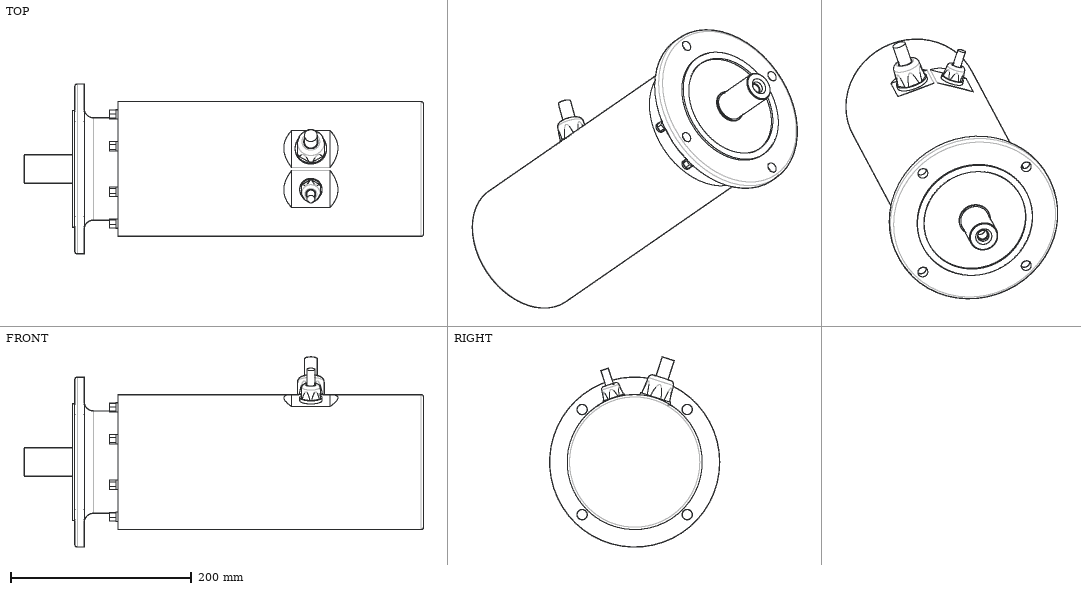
import cadquery as cq
import math

total_length = 444.0

shaft_diameter = 32.0
shaft_chamfer = 1.0
countersink_diameter = 18.0
relief_diameter = 13.0
relief_depth = 7.0
tap_diameter = 10.5
tap_depth = 22.0
drill_point_angle = 120.0

register_front = 53.7
register_diameter = 130.0
recess_diameter = 115.0
recess_depth = 2.5
seal_diameter = 35.0
seal_height = 1.8
flange_front = 56.5
flange_back = 67.0
flange_diameter = 189.0
flange_face_diameter = 183.0
flange_edge_radius = (flange_diameter - flange_face_diameter) / 2
flange_hole_diameter = 11.0
flange_hole_count = 4
flange_hole_circle = 165.0
flange_hole_start_angle = 45.0

neck_diameter = 114.0
neck_fillet = 10.0

housing_front = 104.5
housing_diameter = 150.0
housing_edge_fillet = 2.5

screw_count = 8
screw_circle = 131.5
screw_flange_diameter = 10.5
screw_flange_thickness = 2.0
screw_head_height = 9.5
screw_hex_diameter = 10.5

gland_x = 319.0
gland_tilt = 18.0
flat_height = 72.0
flat_length = 43.0
flat_ramp_angle = 20.0
cutter_height = 13.5
cutter_width = 62.0


def x_cylinder(diameter, start, end):
    """Cylinder on the motor axis from X = start to X = end."""
    return cq.Workplane("YZ", origin=(start, 0, 0)).circle(diameter / 2).extrude(end - start)


def make_front_end():
    """Shaft, register, flange and neck, turned as one profile around the motor axis."""
    shaft_radius = shaft_diameter / 2
    recess_floor = register_front + recess_depth
    seal_front = recess_floor - seal_height
    neck_radius = neck_diameter / 2
    fillet_shift = neck_fillet * (1 - math.sqrt(0.5))
    edge_shift = flange_edge_radius * (1 - math.sqrt(0.5))
    profile = (
        cq.Workplane("XY")
        .moveTo(0, 0)
        .lineTo(0, shaft_radius - shaft_chamfer)
        .lineTo(shaft_chamfer, shaft_radius)
        .lineTo(seal_front, shaft_radius)
        .lineTo(seal_front, seal_diameter / 2)
        .lineTo(recess_floor, seal_diameter / 2)
        .lineTo(recess_floor, recess_diameter / 2)
        .lineTo(register_front, recess_diameter / 2)
        .lineTo(register_front, register_diameter / 2)
        .lineTo(flange_front, register_diameter / 2)
        .lineTo(flange_front, flange_face_diameter / 2)
        .threePointArc(
            (flange_front + edge_shift, flange_diameter / 2 - edge_shift),
            (flange_front + flange_edge_radius, flange_diameter / 2),
        )
        .lineTo(flange_back, flange_diameter / 2)
        .lineTo(flange_back, neck_radius + neck_fillet)
        .threePointArc(
            (flange_back + fillet_shift, neck_radius + fillet_shift),
            (flange_back + neck_fillet, neck_radius),
        )
        .lineTo(housing_front, neck_radius)
        .lineTo(housing_front, 0)
        .close()
    )
    return profile.revolve(360, (0, 0, 0), (1, 0, 0))


def make_centre_hole():
    """Countersunk, relieved tapping hole with a conical drill point."""
    countersink_depth = (countersink_diameter - relief_diameter) / 2
    point_depth = tap_diameter / 2 / math.tan(math.radians(drill_point_angle / 2))
    profile = (
        cq.Workplane("XY")
        .moveTo(0, 0)
        .lineTo(0, countersink_diameter / 2)
        .lineTo(countersink_depth, relief_diameter / 2)
        .lineTo(relief_depth, relief_diameter / 2)
        .lineTo(relief_depth, tap_diameter / 2)
        .lineTo(tap_depth, tap_diameter / 2)
        .lineTo(tap_depth + point_depth, 0)
        .close()
    )
    return profile.revolve(360, (0, 0, 0), (1, 0, 0))


def make_flange_holes():
    """Through holes on the diagonals of the flange."""
    return (
        cq.Workplane("YZ", origin=(flange_front, 0, 0))
        .polarArray(flange_hole_circle / 2, flange_hole_start_angle, 360, flange_hole_count)
        .circle(flange_hole_diameter / 2)
        .extrude(flange_back - flange_front)
    )


def make_housing():
    """Cylindrical housing with a rounded rear edge."""
    cylinder = x_cylinder(housing_diameter, housing_front, total_length)
    return cylinder.faces(">X").edges().fillet(housing_edge_fillet)


def make_screw_heads():
    """Ring of hexagon heads on round flanges, standing on the front face of the housing."""
    first_angle = 180 / screw_count
    flanges = (
        cq.Workplane("YZ", origin=(housing_front, 0, 0))
        .polarArray(screw_circle / 2, first_angle, 360, screw_count)
        .circle(screw_flange_diameter / 2)
        .extrude(-screw_flange_thickness)
    )
    hexagons = (
        cq.Workplane("YZ", origin=(housing_front, 0, 0))
        .polarArray(screw_circle / 2, first_angle, 360, screw_count)
        .polygon(6, screw_hex_diameter)
        .extrude(-screw_head_height)
    )
    return flanges.union(hexagons)


def place_gland(shape, tilt):
    """Move a shape from the origin onto a gland flat, tilted from +Z towards +Y."""
    return shape.translate((gland_x, 0, flat_height)).rotate((0, 0, 0), (1, 0, 0), -tilt)


def make_flat_cutter():
    """Flat-bottomed cutter with a ramp at each end, its floor centred on the origin."""
    ramp_run = cutter_height / math.tan(math.radians(flat_ramp_angle))
    half_floor = flat_length / 2
    half_top = half_floor + ramp_run
    return (
        cq.Workplane("XZ")
        .polyline(
            [
                (-half_floor, 0),
                (half_floor, 0),
                (half_top, cutter_height),
                (-half_top, cutter_height),
            ]
        )
        .close()
        .extrude(cutter_width / 2, both=True)
    )


def make_motor():
    """Motor with its shaft, flange, housing and screw heads as one solid."""
    motor = make_front_end().union(make_housing()).union(make_screw_heads())
    motor = motor.cut(make_centre_hole()).cut(make_flange_holes())
    for tilt in (gland_tilt, -gland_tilt):
        motor = motor.cut(place_gland(make_flat_cutter(), tilt))
    return motor


def make_cable_gland(
    base_diameter,
    base_thickness,
    cap_diameter,
    cap_top_diameter,
    cap_height,
    cap_fillet,
    flats_width,
    bore_diameter,
    bore_depth,
    cable_diameter,
    cable_height,
):
    """Round base, tapered cap with six wrench flats, and a cable in a clearance bore."""
    base = cq.Workplane("XY").circle(base_diameter / 2).extrude(base_thickness)
    cap = (
        cq.Workplane("XZ")
        .polyline(
            [
                (0, 0),
                (cap_diameter / 2, 0),
                (cap_top_diameter / 2, cap_height),
                (0, cap_height),
            ]
        )
        .close()
        .revolve(360, (0, 0, 0), (0, 1, 0))
        .faces(">Z")
        .edges()
        .fillet(cap_fillet)
    )
    wrench_hexagon = (
        cq.Workplane("XY")
        .polygon(6, flats_width, circumscribed=True)
        .extrude(cap_height)
    )
    bore = (
        cq.Workplane("XY", origin=(0, 0, cap_height))
        .circle(bore_diameter / 2)
        .extrude(-bore_depth)
    )
    cable = cq.Workplane("XY").circle(cable_diameter / 2).extrude(cable_height)
    return base.union(cap.intersect(wrench_hexagon)).cut(bore).union(cable)


power_gland = make_cable_gland(
    base_diameter=35.0,
    base_thickness=3.5,
    cap_diameter=33.5,
    cap_top_diameter=29.0,
    cap_height=26.5,
    cap_fillet=5.0,
    flats_width=30.0,
    bore_diameter=16.0,
    bore_depth=1.5,
    cable_diameter=14.0,
    cable_height=49.0,
)
signal_gland = make_cable_gland(
    base_diameter=25.0,
    base_thickness=3.5,
    cap_diameter=24.0,
    cap_top_diameter=19.5,
    cap_height=18.5,
    cap_fillet=3.5,
    flats_width=21.0,
    bore_diameter=10.5,
    bore_depth=1.5,
    cable_diameter=9.0,
    cable_height=36.5,
)

motor = make_motor()
power_gland = place_gland(power_gland, gland_tilt)
signal_gland = place_gland(signal_gland, -gland_tilt)

result = cq.Compound.makeCompound([motor.val(), power_gland.val(), signal_gland.val()])